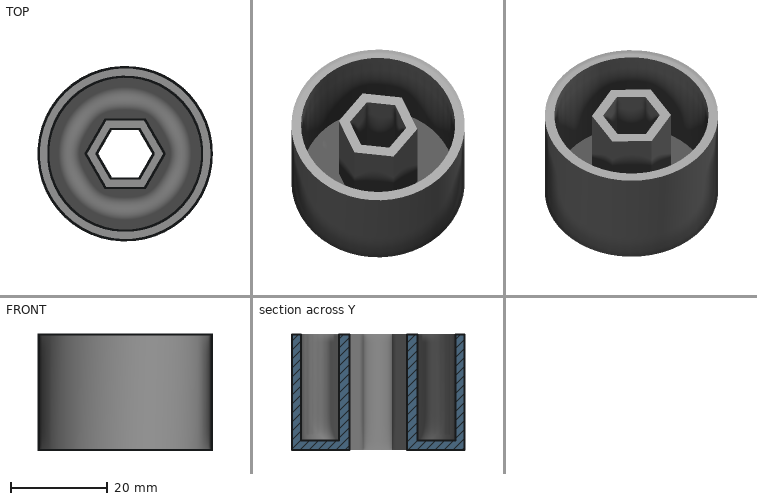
import cadquery as cq
import math

outer_diameter = 36.0
height = 24.0
wall = 2.0
floor_thickness = wall

bore_across_flats = 10.2
hub_wall = 2.0
hub_across_flats = bore_across_flats + 2 * hub_wall


def hex_prism(across_flats, length):
    """Hexagonal prism standing on Z = 0, centred on the Z axis."""
    across_corners = across_flats / math.cos(math.pi / 6)
    return cq.Workplane("XY").polygon(6, across_corners).extrude(length)


def open_cup():
    """Round cup with a flat floor, open at the top."""
    body = cq.Workplane("XY").circle(outer_diameter / 2).extrude(height)
    cavity = (
        cq.Workplane("XY")
        .workplane(offset=floor_thickness)
        .circle(outer_diameter / 2 - wall)
        .extrude(height - floor_thickness)
    )
    return body.cut(cavity)


hub = hex_prism(hub_across_flats, height)
bore = hex_prism(bore_across_flats, height)
result = open_cup().union(hub).cut(bore)